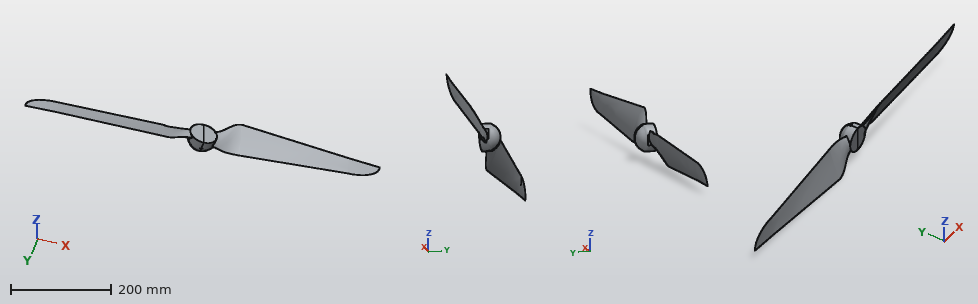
import cadquery as cq
import math


hub_radius = 28.0
hub_length = 38.0
barrel_length = 16.0
dome_start = (25.0, 23.0)
barrel_round_middle = (27.0, 20.0)
dome_middle = (15.0, 34.0)

recess_floor_x = 26.0
recess_width = 26.5
recess_back_y = 2.0
recess_front_y = 19.0

span = 369.5
root_x = 22.0
shoulder_x = 79.0
tip_start_x = 304.0

shoulder_trailing = (-7.5, 46.0)
shoulder_leading = (18.0, -21.5)
tip_start_trailing = (4.5, 32.5)
tip_start_leading = (11.0, -8.0)
tip_y = 8.0
tip_z = 30.0
tip_ellipse_share = 0.999
tip_section_count = 6

root_sections = [
    (root_x, (3.0, 17.0), (13.0, -18.0), 0.2, -0.2),
    (35.0, (1.5, 21.0), (15.5, -20.0), 0.17, -0.15),
    (45.0, (-1.5, 27.0), (17.0, -21.5), 0.13, -0.08),
    (58.5, (-5.0, 38.0), (18.5, -21.5), 0.09, -0.02),
]

front_bulge = 0.07
back_bulge = 0.01


def blade_section(x, trailing, leading, front_share=front_bulge, back_share=back_bulge):
    """Closed wire across the blade at x: two arcs that meet at the edges."""
    chord_y = trailing[0] - leading[0]
    chord_z = trailing[1] - leading[1]
    mid_y = (trailing[0] + leading[0]) / 2
    mid_z = (trailing[1] + leading[1]) / 2

    def bulge_point(share):
        return cq.Vector(x, mid_y + share * chord_z, mid_z - share * chord_y)

    start = cq.Vector(x, *trailing)
    end = cq.Vector(x, *leading)
    front = cq.Edge.makeThreePointArc(start, bulge_point(front_share), end)
    back = cq.Edge.makeThreePointArc(end, bulge_point(back_share), start)
    return cq.Wire.assembleEdges([front, back])


def tip_section(reach):
    """Section of the tip; reach runs from 0 at its start to 1 at the end of the blade."""
    def blend(start, end):
        return start + reach * (end - start)

    narrowing = math.sqrt(1 - (tip_ellipse_share * reach) ** 2)
    trailing = (blend(tip_start_trailing[0], tip_y), blend(tip_start_trailing[1], tip_z))
    leading_y = tip_y + narrowing * (tip_start_leading[0] - tip_y)
    leading_z = tip_z + narrowing * (tip_start_leading[1] - tip_z)
    return blade_section(blend(tip_start_x, span), trailing, (leading_y, leading_z))


def make_blade():
    shoulder = blade_section(shoulder_x, shoulder_trailing, shoulder_leading)
    tip_start = blade_section(tip_start_x, tip_start_trailing, tip_start_leading)

    root = cq.Solid.makeLoft([blade_section(*section) for section in root_sections] + [shoulder])
    middle = cq.Solid.makeLoft([shoulder, tip_start], True)

    tip_wires = [tip_section(math.sin(math.pi / 2 * step / tip_section_count))
                 for step in range(tip_section_count + 1)]
    tip = cq.Solid.makeLoft(tip_wires)
    return cq.Workplane(root).union(cq.Workplane(middle)).union(cq.Workplane(tip))


def make_half_hub():
    """Half of the hub, on the +X side, with the recess for the blade root."""
    hub = (
        cq.Workplane("XY")
        .lineTo(hub_radius, 0)
        .lineTo(hub_radius, barrel_length)
        .threePointArc(barrel_round_middle, dome_start)
        .threePointArc(dome_middle, (0, hub_length))
        .close()
        .revolve(360, (0, 0, 0), (0, 1, 0))
    )
    positive_side = cq.Workplane("XY").box(
        hub_radius, hub_length, 2 * hub_radius, centered=(False, False, True)
    )
    recess = cq.Workplane("XY").box(
        hub_radius, recess_front_y - recess_back_y, recess_width, centered=(False, False, True)
    ).translate((recess_floor_x, recess_back_y, 0))
    return hub.intersect(positive_side).cut(recess)


def make_propeller_half(turn):
    half = make_half_hub().union(make_blade())
    return half.rotate((0, 0, 0), (0, 1, 0), turn)


propeller_halves = [make_propeller_half(turn).solids().val() for turn in (0, 180)]
result = cq.Compound.makeCompound(propeller_halves)